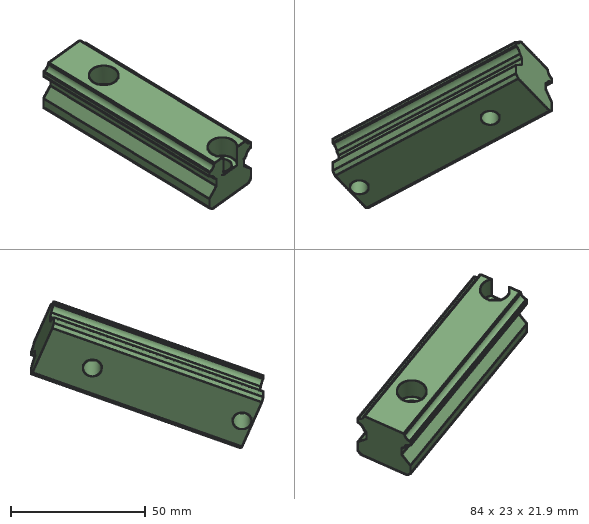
import cadquery as cq
import math

length = 84.0
width = 23.0
height = 21.9

half_width = width / 2
half_waist = 7.675
base_chamfer = 1.5
shoulder_height = 6.075
waist_bottom = shoulder_height + half_width - half_waist
waist_top = 13.3

top_chamfer = 0.45
lip_center_height = 18.02
lip_half_height = 1.0
groove_radius = 2.5
groove_root_y = 8.96
groove_root_rise = height - top_chamfer - lip_center_height
groove_mouth_y = 11.17
groove_mouth_rise = 1.2

first_hole_x = 20.0
hole_pitch = 60.0
hole_count = 2
hole_diameter = 7.0
counterbore_diameter = 11.0
counterbore_depth = 9.0


def groove_arc_point():
    """Point halfway along the upper groove arc, as (y, rise above the lip centre)."""
    chord_y = groove_mouth_y - groove_root_y
    chord_rise = groove_root_rise - groove_mouth_rise
    chord = math.hypot(chord_y, chord_rise)
    sagitta = groove_radius - math.sqrt(groove_radius**2 - (chord / 2) ** 2)
    middle_y = (groove_root_y + groove_mouth_y) / 2
    middle_rise = (groove_root_rise + groove_mouth_rise) / 2
    return (
        middle_y - sagitta * chord_rise / chord,
        middle_rise - sagitta * chord_y / chord,
    )


def rail_body():
    """Extruded rail: one half of the cross-section, mirrored across Y = 0."""
    arc_y, arc_rise = groove_arc_point()
    center = lip_center_height
    half = (
        cq.Workplane("YZ")
        .moveTo(0, 0)
        .lineTo(half_width - base_chamfer, 0)
        .lineTo(half_width, base_chamfer)
        .lineTo(half_width, shoulder_height)
        .lineTo(half_waist, waist_bottom)
        .lineTo(half_waist, waist_top)
        .lineTo(groove_root_y, center - groove_root_rise)
        .threePointArc((arc_y, center - arc_rise), (groove_mouth_y, center - groove_mouth_rise))
        .lineTo(half_width, center - lip_half_height)
        .lineTo(half_width, center + lip_half_height)
        .lineTo(groove_mouth_y, center + groove_mouth_rise)
        .threePointArc((arc_y, center + arc_rise), (groove_root_y, center + groove_root_rise))
        .lineTo(groove_root_y - top_chamfer, height)
        .lineTo(0, height)
        .close()
        .extrude(length)
    )
    return half.union(half.mirror("XZ")).clean()


def mounting_hole(x):
    """Cutting tool for one counterbored hole through the full height."""
    bore = cq.Workplane("XY").center(x, 0).circle(hole_diameter / 2).extrude(height)
    counterbore = (
        cq.Workplane("XY", origin=(x, 0, height - counterbore_depth))
        .circle(counterbore_diameter / 2)
        .extrude(counterbore_depth)
    )
    return bore.union(counterbore)


result = rail_body()
for index in range(hole_count):
    result = result.cut(mounting_hole(first_hole_x + index * hole_pitch))